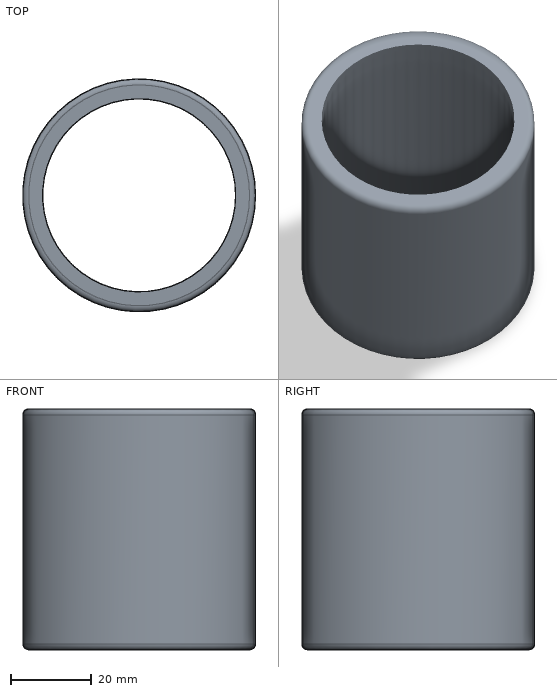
import cadquery as cq

length = 60.0
outer_diameter = 58.0
bore_diameter = 48.0
rim_radius = 1.5

body = (
    cq.Workplane("XY")
    .circle(outer_diameter / 2)
    .extrude(length)
    .edges("%CIRCLE")
    .fillet(rim_radius)
)

bore = cq.Workplane("XY").circle(bore_diameter / 2).extrude(length)

result = body.cut(bore)